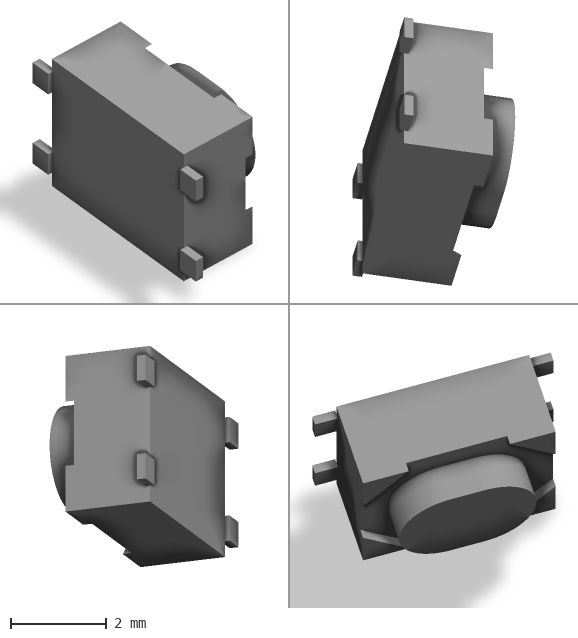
import cadquery as cq

body_width = 4.2
body_height = 3.4
body_depth = 1.905

pad_leg = 1.0
pad_rise = 0.2

button_length = 3.0
button_height = 2.25
button_rise_above_pads = 0.6

overall_width = 5.2
terminal_height = 0.55
terminal_thickness = 0.2
terminal_spacing = 2.155
terminal_standoff = 0.1

terminal_length = (overall_width - body_width) / 2
button_base = body_depth - pad_rise


def block(width, depth, height, front):
    """Box centred on X and Z, running in +Y from the given front position."""
    box = cq.Workplane("XY").box(width, depth, height, centered=(True, False, True))
    return box.translate((0, front, 0))


def make_pad(x_side, z_side):
    """Right-angled triangle with its square corner at a corner of the body."""
    x_edge = x_side * body_width / 2
    z_edge = z_side * body_height / 2
    return (
        cq.Workplane("XZ", origin=(0, button_base, 0))
        .moveTo(x_edge, z_edge)
        .lineTo(x_edge - x_side * pad_leg, z_edge)
        .lineTo(x_edge, z_edge - z_side * pad_leg)
        .close()
        .extrude(-pad_rise)
    )


def make_button():
    return (
        cq.Workplane("XZ", origin=(0, button_base, 0))
        .slot2D(button_length, button_height)
        .extrude(-(pad_rise + button_rise_above_pads))
    )


def make_terminal(x_side, z_side):
    terminal = block(terminal_length, terminal_thickness, terminal_height, -terminal_standoff)
    x_centre = x_side * (body_width + terminal_length) / 2
    return terminal.translate((x_centre, 0, z_side * terminal_spacing / 2))


result = block(body_width, button_base, body_height, 0).union(make_button())
for x_side in (-1, 1):
    for z_side in (-1, 1):
        result = result.union(make_pad(x_side, z_side))
        result = result.union(make_terminal(x_side, z_side))